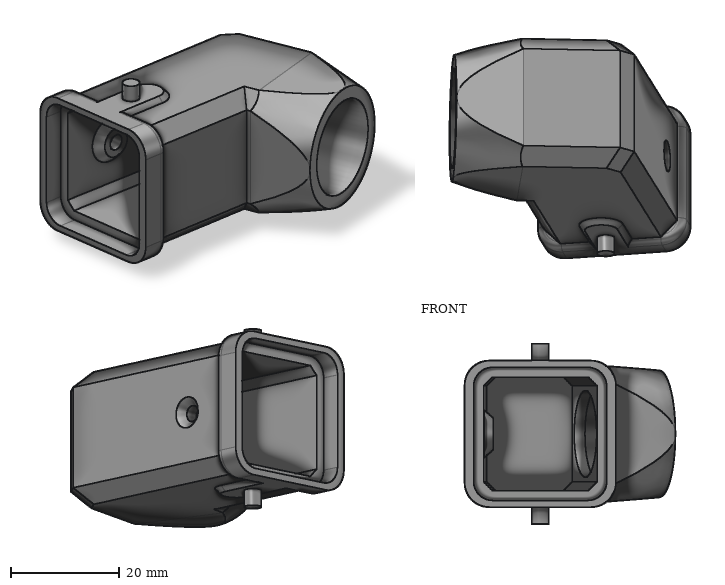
import cadquery as cq
import math


HOOD_WIDTH = 39.05
HOOD_LENGTH = 54.3

BODY_WIDTH = 25.1
BODY_CHAMFER = 3.05
HEAD_TILT = 15.0
SHOULDER_SETBACK = 2.15

NOZZLE_LENGTH = 12.35
NOZZLE_END_DIAMETER = 23.45
BORE_DIAMETER = 16.0
BORE_LENGTH = 2.05
CABLE_ENTRY_DIAMETER = 18.6

FLANGE_X = 28.0
FLANGE_Z = 27.15
FLANGE_HEIGHT = 5.4
FLANGE_CORNER_RADIUS = 4.6
FLANGE_EDGE_RADIUS = 1.45
SEAT_WIDTH = 24.65
SEAT_CORNER_RADIUS = 3.6
SEAT_DEPTH = 3.7

CAVITY_WIDTH = 21.0
CAVITY_CHAMFER = 1.65
CAVITY_WALL_INSET = 1.8
CAVITY_HEAD_REACH = 9.55
CAVITY_WALL_DRAFT = 0.6

PIN_DIAMETER = 3.2
PIN_SPAN = 33.4
PIN_Y = 9.85
PAD_TOP_RADIUS = 3.05
PAD_END_Y = 14.0
PAD_FLANK_ANGLE = 45.0

SCREW_Y = 14.4
SCREW_DIAMETER = 3.0
COUNTERSINK_DIAMETER = 5.8
SCREW_BOSS_HEIGHT = 1.85
SCREW_BOSS_TIP_DIAMETER = COUNTERSINK_DIAMETER
SCREW_BOSS_BASE_DIAMETER = 9.1

BODY_HALF = BODY_WIDTH / 2
CAVITY_HALF = CAVITY_WIDTH / 2
TILT = math.radians(HEAD_TILT)
SLOPE = math.tan(TILT)

NOZZLE_END_RADIUS = NOZZLE_END_DIAMETER / 2
NECK_X = (
    HOOD_WIDTH - FLANGE_X / 2 - NOZZLE_LENGTH * math.cos(TILT) - NOZZLE_END_RADIUS * math.sin(TILT)
)
NECK_Y = HOOD_LENGTH - NOZZLE_LENGTH * math.sin(TILT) - NOZZLE_END_RADIUS * math.cos(TILT)


def tilted_point(along, across):
    """Point in XY given along the nozzle axis and across it, from the nozzle start."""
    x = NECK_X + along * math.cos(TILT) - across * math.sin(TILT)
    y = NECK_Y + along * math.sin(TILT) + across * math.cos(TILT)
    return (x, y)


def nozzle_plane(along):
    """Plane square to the nozzle axis, with its local Y along Z."""
    x, y = tilted_point(along, 0)
    return cq.Plane(
        origin=(x, y, 0),
        xDir=(-math.sin(TILT), math.cos(TILT), 0),
        normal=(math.cos(TILT), math.sin(TILT), 0),
    )


def chamfered_prism(points, half_height, chamfer, plain_edges):
    """Prism centred on Z = 0 with its rims chamfered, except on the listed edges.

    Edge i of the outline runs from point i to the next point.
    """
    prism = cq.Workplane("XY").polyline(points).close().extrude(half_height, both=True)
    count = len(points)
    rims = []
    for i in range(count):
        if i in plain_edges:
            continue
        (x1, y1), (x2, y2) = points[i], points[(i + 1) % count]
        for z in (-half_height, half_height):
            middle = ((x1 + x2) / 2, (y1 + y2) / 2, z)
            rims.append(cq.selectors.NearestToPointSelector(middle))
    edges = [prism.edges(rim).val() for rim in rims]
    return prism.newObject(edges).chamfer(chamfer)


def make_shoulder_cutter(corner):
    """Wedge that cuts the sharp corner of the head and its two chamfer mitres."""
    half_corner = (math.pi / 2 + TILT) / 2
    outward = (-math.sin(half_corner), math.cos(half_corner))
    corner_height = SHOULDER_SETBACK * math.cos(half_corner)
    mitre_run = BODY_CHAMFER / math.sin(half_corner)
    profile_plane = cq.Plane(
        origin=(corner[0], corner[1], 0),
        xDir=(outward[0], outward[1], 0),
        normal=(outward[1], -outward[0], 0),
    )
    face = -corner_height
    flat = BODY_HALF - BODY_CHAMFER
    profile = [
        (face, -flat),
        (face, flat),
        (face - mitre_run, BODY_HALF),
        (BODY_HALF, BODY_HALF),
        (BODY_HALF, -BODY_HALF),
        (face - mitre_run, -BODY_HALF),
    ]
    return cq.Workplane(profile_plane).polyline(profile).close().extrude(BODY_HALF, both=True)


def make_body():
    neck_top = tilted_point(0, BODY_HALF)
    neck_bottom = tilted_point(0, -BODY_HALF)
    ridge_y = neck_top[1] - (neck_top[0] + BODY_HALF) * SLOPE
    throat_y = neck_bottom[1] - (neck_bottom[0] - BODY_HALF) * SLOPE
    outline = [
        (BODY_HALF, 0),
        (BODY_HALF, throat_y),
        neck_bottom,
        neck_top,
        (-BODY_HALF, ridge_y),
        (-BODY_HALF, 0),
    ]
    body = chamfered_prism(outline, BODY_HALF, BODY_CHAMFER, plain_edges=(2, 5))
    return body.cut(make_shoulder_cutter((-BODY_HALF, ridge_y)))


def make_nozzle():
    """Four tapering flats and chamfered corners, all trimmed by a cone."""
    flats = (
        cq.Workplane(nozzle_plane(0))
        .rect(BODY_WIDTH, BODY_WIDTH)
        .workplane(offset=NOZZLE_LENGTH)
        .rect(NOZZLE_END_DIAMETER, NOZZLE_END_DIAMETER)
        .loft()
    )
    corners = (
        cq.Workplane(nozzle_plane(0))
        .rect(BODY_WIDTH, BODY_WIDTH)
        .extrude(NOZZLE_LENGTH)
        .edges(cq.selectors.ParallelDirSelector(nozzle_plane(0).zDir))
        .chamfer(BODY_CHAMFER)
    )
    start_radius = math.hypot(BODY_HALF, BODY_HALF - BODY_CHAMFER)
    start = nozzle_plane(0)
    cone = cq.Solid.makeCone(
        start_radius, NOZZLE_END_DIAMETER / 2, NOZZLE_LENGTH, start.origin, start.zDir
    )
    return flats.intersect(corners).intersect(cq.Workplane(cone))


def make_flange():
    return (
        cq.Workplane("XZ")
        .rect(FLANGE_X, FLANGE_Z)
        .extrude(-FLANGE_HEIGHT)
        .edges("|Y")
        .fillet(FLANGE_CORNER_RADIUS)
        .faces(">Y")
        .edges()
        .fillet(FLANGE_EDGE_RADIUS)
    )


def make_pad_and_pin(side):
    """Raised pad with slanted flanks and its pin, on the +Z (1) or -Z (-1) side."""
    pad_height = FLANGE_Z / 2 - BODY_HALF
    root_radius = PAD_TOP_RADIUS + pad_height * math.tan(math.radians(PAD_FLANK_ANGLE))
    pad = (
        cq.Workplane("XY", origin=(0, 0, BODY_HALF))
        .moveTo(-root_radius, 0)
        .lineTo(-root_radius, PAD_END_Y)
        .threePointArc((0, PAD_END_Y + root_radius), (root_radius, PAD_END_Y))
        .lineTo(root_radius, 0)
        .close()
        .extrude(pad_height, taper=PAD_FLANK_ANGLE)
    )
    pin = (
        cq.Workplane("XY", origin=(0, PIN_Y, BODY_HALF))
        .circle(PIN_DIAMETER / 2)
        .extrude(PIN_SPAN / 2 - BODY_HALF)
    )
    pad_and_pin = pad.union(pin)
    return pad_and_pin if side > 0 else pad_and_pin.mirror("XY")


def make_cavity():
    wall = -CAVITY_WALL_INSET
    corner = tilted_point(wall, CAVITY_HEAD_REACH)
    axis_x, axis_y = tilted_point(wall, 0)
    wall_foot_y = axis_y - (CAVITY_HALF - axis_x) / SLOPE
    back_x = -CAVITY_HALF + CAVITY_WALL_DRAFT
    back_y = corner[1] - (corner[0] - back_x) * SLOPE
    outline = [
        (CAVITY_HALF, 0),
        (CAVITY_HALF, wall_foot_y),
        corner,
        (back_x, back_y),
        (-CAVITY_HALF, 0),
    ]
    return chamfered_prism(outline, CAVITY_HALF, CAVITY_CHAMFER, plain_edges=(2, 4))


def make_seat():
    return (
        cq.Workplane("XZ")
        .rect(SEAT_WIDTH, SEAT_WIDTH)
        .extrude(-SEAT_DEPTH)
        .edges("|Y")
        .fillet(SEAT_CORNER_RADIUS)
    )


def make_cable_bore():
    wall = -CAVITY_WALL_INSET
    bore = cq.Workplane(nozzle_plane(wall)).circle(BORE_DIAMETER / 2).extrude(BORE_LENGTH)
    entry_start = wall + BORE_LENGTH
    entry = (
        cq.Workplane(nozzle_plane(entry_start))
        .circle(CABLE_ENTRY_DIAMETER / 2)
        .extrude(NOZZLE_LENGTH - entry_start)
    )
    return bore.union(entry)


def cone_along_x(x, diameter_1, diameter_2, height):
    """Cone on the screw axis, starting at x and running towards +X."""
    return cq.Workplane(
        cq.Solid.makeCone(
            diameter_1 / 2, diameter_2 / 2, height, cq.Vector(x, SCREW_Y, 0), cq.Vector(1, 0, 0)
        )
    )


def make_screw_boss():
    return cone_along_x(
        -CAVITY_HALF, SCREW_BOSS_BASE_DIAMETER, SCREW_BOSS_TIP_DIAMETER, SCREW_BOSS_HEIGHT
    )


def make_screw_hole():
    depth = BODY_HALF - CAVITY_HALF + SCREW_BOSS_HEIGHT
    hole = (
        cq.Workplane("YZ", origin=(-BODY_HALF, SCREW_Y, 0))
        .circle(SCREW_DIAMETER / 2)
        .extrude(depth)
    )
    sink_depth = (COUNTERSINK_DIAMETER - SCREW_DIAMETER) / 2
    return hole.union(cone_along_x(-BODY_HALF, COUNTERSINK_DIAMETER, SCREW_DIAMETER, sink_depth))


hood = make_body().union(make_nozzle()).union(make_flange())
for pin_side in (1, -1):
    hood = hood.union(make_pad_and_pin(pin_side))
hood = hood.cut(make_cavity()).cut(make_seat()).cut(make_cable_bore())
result = hood.union(make_screw_boss()).cut(make_screw_hole())